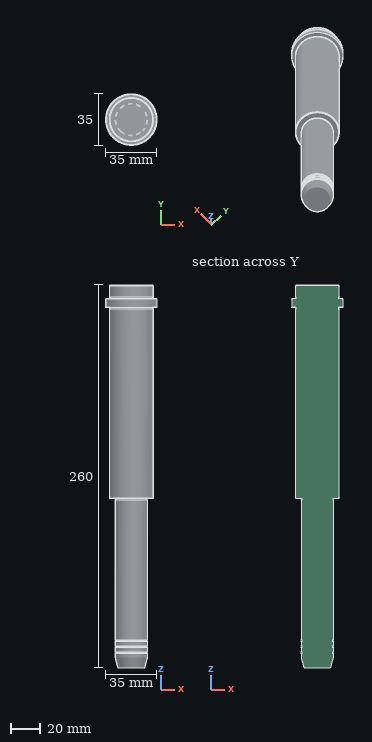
import cadquery as cq
import math

total_length = 260.0
spigot_length = 9.0
collar_height = 6.0
pin_length = 115.0

shank_diameter = 30.0
collar_diameter = 35.0
pin_diameter = 22.0

spigot_chamfer = 0.5
collar_chamfer = 0.5
shank_chamfer = 0.5

relief_width = 1.0
relief_depth = 0.3

lead_length = 7.0
lead_angle = 15.0
tip_fillet = 0.5

groove_count = 3
groove_pitch = 4.0
groove_width = 1.0
groove_bottom_width = 0.4
groove_depth = 0.5
first_groove_height = 10.5

shank_radius = shank_diameter / 2
collar_radius = collar_diameter / 2
pin_radius = pin_diameter / 2
tip_radius = pin_radius - lead_length * math.tan(math.radians(lead_angle))
collar_top = total_length - spigot_length
collar_bottom = collar_top - collar_height


def make_body():
    """Revolve the half outline of pin, shank, collar and spigot about Z and round the tip edge."""
    outline = (
        cq.Workplane("XZ")
        .lineTo(tip_radius, 0)
        .lineTo(pin_radius, lead_length)
        .lineTo(pin_radius, pin_length)
        .lineTo(shank_radius - shank_chamfer, pin_length)
        .lineTo(shank_radius, pin_length + shank_chamfer)
        .lineTo(shank_radius, collar_bottom)
        .lineTo(collar_radius, collar_bottom)
        .lineTo(collar_radius, collar_top - collar_chamfer)
        .lineTo(collar_radius - collar_chamfer, collar_top)
        .lineTo(shank_radius, collar_top)
        .lineTo(shank_radius, total_length - spigot_chamfer)
        .lineTo(shank_radius - spigot_chamfer, total_length)
        .lineTo(0, total_length)
        .close()
    )
    body = outline.revolve(360, (0, 0), (0, 1))
    return body.faces("<Z").edges().fillet(tip_fillet)


def make_relief(radius, bottom):
    """Thin ring that undercuts a cylinder of the given radius."""
    return (
        cq.Workplane("XY", origin=(0, 0, bottom))
        .circle(radius + relief_depth)
        .circle(radius - relief_depth)
        .extrude(relief_width)
    )


def make_groove(center_height):
    """Ring of trapezoidal section that cuts one groove into the pin."""
    half_width = groove_width / 2
    half_bottom = groove_bottom_width / 2
    bottom_radius = pin_radius - groove_depth
    return (
        cq.Workplane("XZ")
        .moveTo(pin_radius, center_height - half_width)
        .lineTo(bottom_radius, center_height - half_bottom)
        .lineTo(bottom_radius, center_height + half_bottom)
        .lineTo(pin_radius, center_height + half_width)
        .close()
        .revolve(360, (0, 0), (0, 1))
    )


result = make_body()
result = result.cut(make_relief(shank_radius, collar_top))
result = result.cut(make_relief(shank_radius, collar_bottom - relief_width))
result = result.cut(make_relief(pin_radius, pin_length - relief_width))
for index in range(groove_count):
    result = result.cut(make_groove(first_groove_height + index * groove_pitch))